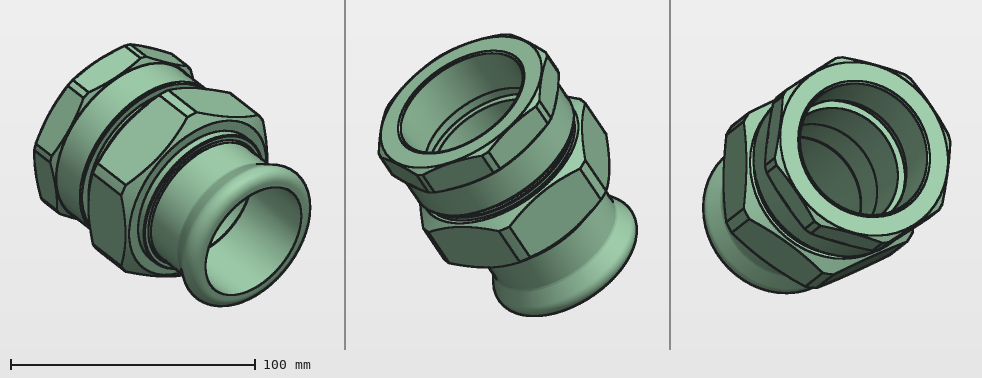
import cadquery as cq
import math

total_length = 95.0
across_flats = 75.05

octagon_corner_radius = 40.0
octagon_length = 13.3
octagon_turn = 15.0
octagon_face_radius = 37.2
octagon_bevel = 1.5
barrel_radius = 37.05
barrel_end = 29.1
barrel_chamfer = 0.7
neck_radius = 33.0
thread_start = 31.5
thread_radius = 34.7
thread_chamfer = 0.6
thread_end = 46.55
socket_mouth_radius = 29.3
socket_radius = 28.2
socket_mouth_depth = 0.5
socket_depth = 19.95
socket_end_radius = 27.4
relief_radius = 28.8
seat_depth = 25.0
bore_radius = 25.65

nut_start = 33.7
nut_end = 59.2
nut_corner_radius = 42.0
nut_face_radius = 36.3
nut_bevel = 3.6
nut_shoulder = 54.15

collar_radius = 31.5
collar_end = 63.1
collar_chamfer = 0.4

tube_radius = 28.6
tube_bore_radius = 25.4
tube_foot = 0.8
bend_start = 80.8
bend_end = 81.8
bend_end_radius = 28.9
bead_arc_radius = 4.8
bead_radius = 32.7
bead_arc_start = 87.7


def revolve_about_x(profile):
    """Turn a closed (x, radius) profile about the X axis."""
    return profile.close().revolve(360, (0, 0, 0), (1, 0, 0))


def turned(points):
    return revolve_about_x(cq.Workplane("XY").polyline(points))


def beveled_prism(sides, start, end, corner_radius, face_radius, bevel, turn):
    """Regular prism along X with cylindrical corners and conical end bevels."""
    circumscribed_diameter = across_flats / math.cos(math.pi / sides)
    prism = (
        cq.Workplane("YZ")
        .polygon(sides, circumscribed_diameter)
        .extrude(end - start)
        .rotate((0, 0, 0), (1, 0, 0), turn)
        .translate((start, 0, 0))
    )
    envelope = turned([
        (start, 0),
        (start, face_radius),
        (start + bevel, corner_radius),
        (end - bevel, corner_radius),
        (end, face_radius),
        (end, 0),
    ])
    return prism.intersect(envelope)


def make_threaded_end():
    octagon = beveled_prism(
        8, 0, octagon_length, octagon_corner_radius, octagon_face_radius, octagon_bevel, -octagon_turn
    )
    shank = turned([
        (octagon_length / 2, 0),
        (octagon_length / 2, barrel_radius),
        (barrel_end - barrel_chamfer, barrel_radius),
        (barrel_end, barrel_radius - barrel_chamfer),
        (barrel_end, neck_radius),
        (thread_start, neck_radius),
        (thread_start + thread_chamfer, thread_radius - thread_chamfer),
        (thread_start + thread_chamfer, thread_radius),
        (thread_end, thread_radius),
        (thread_end, 0),
    ])
    socket = turned([
        (0, 0),
        (0, socket_mouth_radius),
        (socket_mouth_depth, socket_radius),
        (socket_depth, socket_end_radius),
        (socket_depth, relief_radius),
        (seat_depth, relief_radius),
        (seat_depth, bore_radius),
        (thread_end, bore_radius),
        (thread_end, 0),
    ])
    return octagon.union(shank).cut(socket)


def make_nut():
    corner_up = 90.0
    blank = beveled_prism(
        6, nut_start, nut_end, nut_corner_radius, nut_face_radius, nut_bevel, corner_up
    )
    opening = turned([
        (nut_start, 0),
        (nut_start, thread_radius),
        (nut_shoulder, thread_radius),
        (nut_shoulder, collar_radius),
        (nut_end, collar_radius),
        (nut_end, 0),
    ])
    return blank.cut(opening)


def make_collar():
    return turned([
        (thread_end, bore_radius),
        (thread_end, thread_radius),
        (nut_shoulder, thread_radius),
        (nut_shoulder, collar_radius),
        (collar_end - collar_chamfer, collar_radius),
        (collar_end, collar_radius - collar_chamfer),
        (collar_end, bore_radius),
    ])


def make_press_tube():
    arc_x = total_length - bead_arc_radius
    arc_r = bead_radius - bead_arc_radius
    arc_start_r = arc_r + math.sqrt(bead_arc_radius**2 - (arc_x - bead_arc_start) ** 2)
    arc_middle = bead_arc_radius * math.sqrt(0.5)
    profile = (
        cq.Workplane("XY")
        .moveTo(collar_end, tube_bore_radius)
        .lineTo(collar_end, tube_radius + tube_foot)
        .lineTo(collar_end + tube_foot, tube_radius)
        .lineTo(bend_start, tube_radius)
        .lineTo(bend_end, bend_end_radius)
        .lineTo(bead_arc_start, arc_start_r)
        .threePointArc((arc_x + arc_middle, arc_r + arc_middle), (total_length, arc_r))
        .lineTo(total_length, tube_bore_radius)
    )
    return revolve_about_x(profile)


threaded_end = make_threaded_end()
nut = make_nut()
collar = make_collar()
press_tube = make_press_tube()

result = cq.Compound.makeCompound([
    threaded_end.val(),
    nut.val(),
    collar.val(),
    press_tube.val(),
])